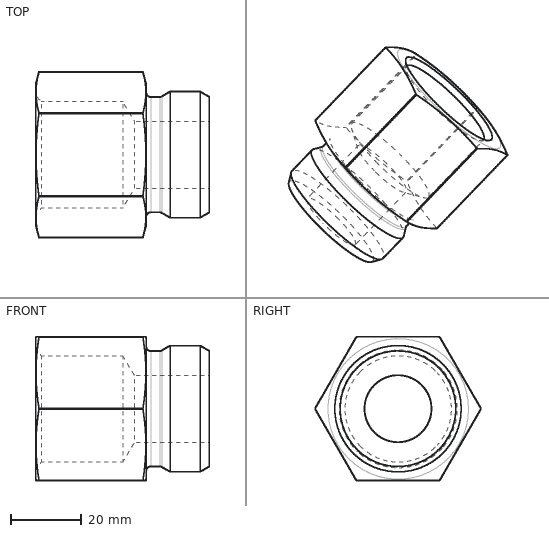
import cadquery as cq
import math

total_length = 49.5
hex_length = 31.55
across_flats = 41.0
corner_diameter = 47.15
hex_face_diameter = 40.0
hex_chamfer_angle = 15.0

spigot_diameter = 36.0
neck_diameter = 32.9
neck_fillet = 1.25
shoulder_angle = 30.0
shoulder_end = 38.3
tip_chamfer_start = 46.85
tip_diameter = 32.9

mouth_diameter = 33.55
bore_diameter = 30.3
through_diameter = 19.0
mouth_chamfer_angle = 45.0
bore_depth = 24.75
seat_angle = 59.0


def revolve_about_x(profile):
    """Turn a closed (x, radius) profile about the X axis."""
    return profile.close().revolve(360, (0, 0, 0), (1, 0, 0))


def hexagon():
    """Hexagon with corners on +/-Y and both ends chamfered."""
    prism = (
        cq.Workplane("YZ")
        .polygon(6, across_flats / math.cos(math.radians(30)))
        .extrude(hex_length)
    )
    face_radius = hex_face_diameter / 2
    corner_radius = corner_diameter / 2
    chamfer_length = (corner_radius - face_radius) * math.tan(math.radians(hex_chamfer_angle))
    envelope = revolve_about_x(
        cq.Workplane("XY")
        .lineTo(0, face_radius)
        .lineTo(chamfer_length, corner_radius)
        .lineTo(hex_length - chamfer_length, corner_radius)
        .lineTo(hex_length, face_radius)
        .lineTo(hex_length, 0)
    )
    return prism.intersect(envelope)


def spigot():
    """Turned end with a filleted neck, conical shoulder and chamfered tip."""
    neck_radius = neck_diameter / 2
    spigot_radius = spigot_diameter / 2
    slope = math.radians(shoulder_angle)
    fillet_end_radius = neck_radius + neck_fillet * (1 - math.cos(slope))
    fillet_end = shoulder_end - (spigot_radius - fillet_end_radius) / math.tan(slope)
    fillet_start = fillet_end - neck_fillet * math.sin(slope)
    root = hex_length / 2
    return revolve_about_x(
        cq.Workplane("XY")
        .moveTo(root, 0)
        .lineTo(root, neck_radius + neck_fillet)
        .lineTo(hex_length, neck_radius + neck_fillet)
        .radiusArc((hex_length + neck_fillet, neck_radius), -neck_fillet)
        .lineTo(fillet_start, neck_radius)
        .radiusArc((fillet_end, fillet_end_radius), -neck_fillet)
        .lineTo(shoulder_end, spigot_radius)
        .lineTo(tip_chamfer_start, spigot_radius)
        .lineTo(total_length, tip_diameter / 2)
        .lineTo(total_length, 0)
    )


def bore():
    """Chamfered socket that narrows through a conical seat to the through hole."""
    mouth_radius = mouth_diameter / 2
    bore_radius = bore_diameter / 2
    through_radius = through_diameter / 2
    mouth_depth = (mouth_radius - bore_radius) / math.tan(math.radians(mouth_chamfer_angle))
    seat_length = (bore_radius - through_radius) / math.tan(math.radians(seat_angle))
    return revolve_about_x(
        cq.Workplane("XY")
        .lineTo(0, mouth_radius)
        .lineTo(mouth_depth, bore_radius)
        .lineTo(bore_depth, bore_radius)
        .lineTo(bore_depth + seat_length, through_radius)
        .lineTo(total_length, through_radius)
        .lineTo(total_length, 0)
    )


result = hexagon().union(spigot()).cut(bore())